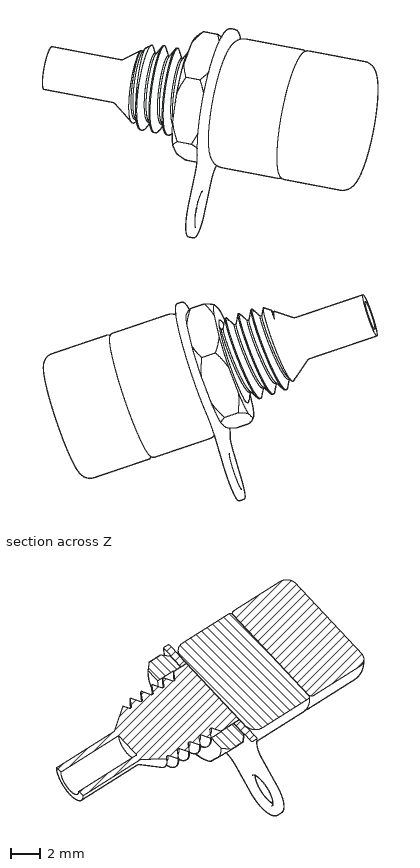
import cadquery as cq
import math


pin_radius = 1.5
pin_length = 5.0
pin_bore_radius = 1.0
cone_length = 2.0
cone_fillet = 0.3
shank_radius = 3.0
stud_length = 12.42

thread_pitch = 0.94
thread_root_radius = 2.37
thread_flank_angle = math.radians(30)
thread_crest_width = 0.08
thread_crest_x = 7.79
thread_lead_turns = 2.5
groove_overcut = 0.05

lug_thickness = 0.5
lug_ring_radius = 5.0
lug_eye_radius = 2.0
lug_eye_hole_radius = 1.25
lug_eye_distance = 7.64
lug_tail_angle = 37.9
lug_neck_fillet = 1.5
lug_edge_fillet = 0.1

nut_width = 8.0
nut_thickness = 2.0
nut_chamfer = 0.5

barrel_radius = 4.5
barrel_length = 10.0
barrel_end_fillet = 0.8
barrel_seam_fillet = 0.22

barrel_start = stud_length
lug_start = barrel_start - lug_thickness
nut_start = lug_start - nut_thickness


def cylinder_x(start, length, radius):
    """Solid cylinder along X, beginning at X = start."""
    return cq.Workplane("YZ", origin=(start, 0, 0)).circle(radius).extrude(length)


def thread_groove():
    """Helical trapezoid cutter that runs from the cone to the last full turn on the shank."""
    outer_radius = shank_radius + groove_overcut
    flank_slope = math.tan(thread_flank_angle)
    mouth_width = thread_pitch - thread_crest_width
    root_half = mouth_width / 2 - (shank_radius - thread_root_radius) * flank_slope
    outer_half = mouth_width / 2 + groove_overcut * flank_slope

    start = thread_crest_x - thread_lead_turns * thread_pitch
    turns = math.floor((stud_length - start) / thread_pitch - 0.5)

    helix = cq.Wire.makeHelix(thread_pitch, turns * thread_pitch, thread_root_radius)
    groove = (
        cq.Workplane("XZ")
        .polyline([
            (thread_root_radius, -root_half),
            (outer_radius, -outer_half),
            (outer_radius, outer_half),
            (thread_root_radius, root_half),
        ])
        .close()
        .sweep(cq.Workplane(helix), isFrenet=True)
    )
    return (
        groove.rotate((0, 0, 0), (0, 1, 0), 90)
        .rotate((0, 0, 0), (1, 0, 0), 180)
        .translate((start, 0, 0))
    )


def make_stud():
    """Revolved pin, cone and shank, with the pin bored and the shank threaded."""
    cone_end = pin_length + cone_length
    blank = (
        cq.Workplane("XY")
        .polyline([
            (0, 0),
            (0, pin_radius),
            (pin_length, pin_radius),
            (cone_end, shank_radius),
            (stud_length, shank_radius),
            (stud_length, 0),
        ])
        .close()
        .revolve(360, (0, 0, 0), (1, 0, 0))
    )
    corner_margin = 0.1
    pin_corner = cq.selectors.BoxSelector(
        (pin_length - corner_margin, -shank_radius, -shank_radius),
        (pin_length + corner_margin, shank_radius, shank_radius),
    )
    blank = blank.edges(pin_corner).edges("%CIRCLE").fillet(cone_fillet)
    bore = cylinder_x(0, pin_length, pin_bore_radius)
    return blank.cut(bore).cut(thread_groove())


def make_nut():
    """Hexagon with flats facing up and down and with its corners chamfered on both faces."""
    corner_radius = nut_width / 2 / math.cos(math.radians(30))
    hexagon = (
        cq.Workplane("YZ", origin=(nut_start, 0, 0))
        .polygon(6, 2 * corner_radius)
        .extrude(nut_thickness)
    )
    corner_cones = cylinder_x(nut_start, nut_thickness, corner_radius).edges().chamfer(nut_chamfer)
    bore = cylinder_x(nut_start, nut_thickness, shank_radius)
    return hexagon.intersect(corner_cones).cut(bore)


def make_lug():
    """Ring and eye joined by a tail as wide as the eye; laid out with the tail along local X, then turned."""
    neck_offset = lug_eye_radius + lug_neck_fillet
    neck_reach = lug_ring_radius + lug_neck_fillet
    neck_angle = math.asin(neck_offset / neck_reach)
    neck_x = neck_reach * math.cos(neck_angle)
    ring_x = lug_ring_radius * math.cos(neck_angle)
    ring_y = lug_ring_radius * math.sin(neck_angle)

    middle_angle = (neck_angle + math.pi / 2) / 2
    middle_x = neck_x - lug_neck_fillet * math.cos(middle_angle)
    middle_y = neck_offset - lug_neck_fillet * math.sin(middle_angle)

    plane = cq.Plane(origin=(lug_start, 0, 0), xDir=(0, -1, 0), normal=(-1, 0, 0))
    plate = (
        cq.Workplane(plane)
        .moveTo(ring_x, ring_y)
        .threePointArc((-lug_ring_radius, 0), (ring_x, -ring_y))
        .threePointArc((middle_x, -middle_y), (neck_x, -lug_eye_radius))
        .lineTo(lug_eye_distance, -lug_eye_radius)
        .threePointArc((lug_eye_distance + lug_eye_radius, 0), (lug_eye_distance, lug_eye_radius))
        .lineTo(neck_x, lug_eye_radius)
        .threePointArc((middle_x, middle_y), (ring_x, ring_y))
        .close()
        .extrude(-lug_thickness)
    )
    eye_hole = (
        cq.Workplane(plane)
        .center(lug_eye_distance, 0)
        .circle(lug_eye_hole_radius)
        .extrude(-lug_thickness)
    )
    plate = plate.cut(eye_hole).faces("<X or >X").edges().fillet(lug_edge_fillet)
    shank_hole = cylinder_x(lug_start, lug_thickness, shank_radius)
    return plate.cut(shank_hole).rotate((0, 0, 0), (1, 0, 0), lug_tail_angle)


def make_barrel_half(start, outer_end, seam_end):
    """Half of the barrel, with a large round on its outer end and a small one at the seam."""
    half = cylinder_x(start, barrel_length / 2, barrel_radius)
    half = half.faces(outer_end).edges().fillet(barrel_end_fillet)
    return half.faces(seam_end).edges().fillet(barrel_seam_fillet)


stud = make_stud()
nut = make_nut()
lug = make_lug()
base = make_barrel_half(barrel_start, "<X", ">X")
cap = make_barrel_half(barrel_start + barrel_length / 2, ">X", "<X")

result = cq.Compound.makeCompound([stud.val(), nut.val(), lug.val(), base.val(), cap.val()])